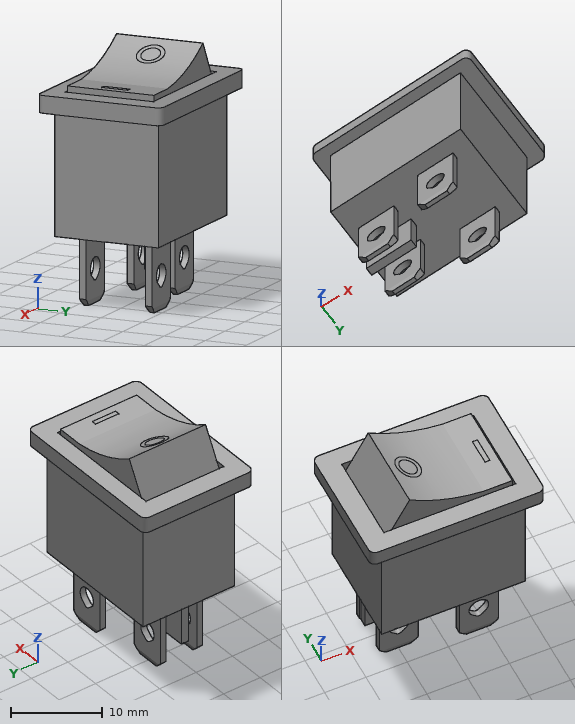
import cadquery as cq
import math

peak_z = 28.25
flange_top_z = 24.4
flange_thickness = 2.0
flange_bottom_z = flange_top_z - flange_thickness
housing_bottom_z = 8.2

flange_length = 21.1
flange_width = 15.1
flange_corner_radius = 0.8
case_length = 17.4
case_width = 12.58
window_length = 16.0
window_width = 10.68
window_floor_z = flange_bottom_z

rocker_width = 10.48
rocker_left_x = -window_length / 2
rocker_right_x = 7.63
peak_x = -4.83
arc_end_x = 4.18
rocker_flat_z = 25.0
rocker_arc_radius = 20.0

mark_depth = 0.2
ring_outer_diameter = 3.2
ring_inner_diameter = 2.2
ring_x = -2.52
bar_x = 6.35
bar_width = 0.6
bar_length = ring_outer_diameter

blade_width = 4.75
blade_thickness = 0.8
blade_corner = 0.9
bevel_height = 0.6
bevel_inset = 0.15
left_blade_x = -5.0
right_blade_x = 3.98
left_blade_y = 2.5
right_blade_y = 4.0
eye_radius = 1.2
eye_z = 4.0
eye_tip_radius = 0.42
eye_tip_z = 3.02

tab_width = 6.0
tab_thickness = 1.02
tab_length = 5.3


def centered_box(length, width, bottom_z, top_z):
    """Upright box centered on the Z axis."""
    return (
        cq.Workplane("XY", origin=(0, 0, bottom_z))
        .rect(length, width)
        .extrude(top_z - bottom_z)
    )


def make_housing():
    """Case with a rounded flange and a rectangular recess for the rocker."""
    flange = centered_box(flange_length, flange_width, flange_bottom_z, flange_top_z)
    flange = flange.edges("|Z").fillet(flange_corner_radius)
    case = centered_box(case_length, case_width, housing_bottom_z, flange_bottom_z)
    window = centered_box(window_length, window_width, window_floor_z, flange_top_z)
    return case.union(flange).cut(window)


def arc_center():
    """X and Z of the center of the concave arc, above the rocker."""
    run = arc_end_x - peak_x
    drop = peak_z - rocker_flat_z
    chord = math.hypot(run, drop)
    rise = math.sqrt(rocker_arc_radius**2 - (chord / 2) ** 2)
    center_x = (peak_x + arc_end_x) / 2 + rise * drop / chord
    center_z = (peak_z + rocker_flat_z) / 2 + rise * run / chord
    return center_x, center_z


def arc_height(x):
    """Height of the concave rocker face at a given X."""
    center_x, center_z = arc_center()
    return center_z - math.sqrt(rocker_arc_radius**2 - (x - center_x) ** 2)


def make_rocker_blank():
    """Rocker profile, with a concave top, extruded across the switch."""
    arc_middle_x = (peak_x + arc_end_x) / 2
    return (
        cq.Workplane("XZ")
        .moveTo(rocker_left_x, window_floor_z)
        .lineTo(peak_x, peak_z)
        .threePointArc((arc_middle_x, arc_height(arc_middle_x)), (arc_end_x, rocker_flat_z))
        .lineTo(rocker_right_x, rocker_flat_z)
        .lineTo(rocker_right_x, window_floor_z)
        .close()
        .extrude(rocker_width / 2, both=True)
    )


def make_ring_mark(blank):
    """Ring inlay, square to the concave face and flush with it."""
    center_x, center_z = arc_center()
    ring_z = arc_height(ring_x)
    normal = cq.Vector(center_x - ring_x, 0, center_z - ring_z).normalized()
    base = cq.Vector(ring_x, 0, ring_z) - normal * mark_depth
    plane = cq.Plane(origin=base, xDir=(0, 1, 0), normal=normal)
    ring = (
        cq.Workplane(plane)
        .circle(ring_outer_diameter / 2)
        .circle(ring_inner_diameter / 2)
        .extrude(2 * mark_depth)
    )
    return ring.intersect(blank)


def make_bar_mark():
    """Bar inlay, flush with the flat end of the rocker."""
    bar = centered_box(bar_width, bar_length, rocker_flat_z - mark_depth, rocker_flat_z)
    return bar.translate((bar_x, 0, 0))


def make_eye():
    """Teardrop cutter: two circles joined by their common tangents."""
    spacing = eye_z - eye_tip_z
    tangent_sine = (eye_radius - eye_tip_radius) / spacing
    tangent_cosine = math.sqrt(1 - tangent_sine**2)
    eye_side_x = eye_radius * tangent_cosine
    eye_side_z = eye_z - eye_radius * tangent_sine
    tip_side_x = eye_tip_radius * tangent_cosine
    tip_side_z = eye_tip_z - eye_tip_radius * tangent_sine
    return (
        cq.Workplane("XZ")
        .moveTo(eye_side_x, eye_side_z)
        .threePointArc((0, eye_z + eye_radius), (-eye_side_x, eye_side_z))
        .lineTo(-tip_side_x, tip_side_z)
        .threePointArc((0, eye_tip_z - eye_tip_radius), (tip_side_x, tip_side_z))
        .close()
        .extrude(blade_thickness, both=True)
    )


def make_blade(x, y):
    """Blade with clipped corners, a tip beveled on both faces and a teardrop eye."""
    half_thickness = blade_thickness / 2
    tip_half_thickness = half_thickness - bevel_inset
    blade = centered_box(blade_width, blade_thickness, 0, housing_bottom_z)
    blade = blade.edges("|Y and <Z").chamfer(blade_corner)
    side_profile = (
        cq.Workplane("YZ")
        .moveTo(-tip_half_thickness, 0)
        .lineTo(tip_half_thickness, 0)
        .lineTo(half_thickness, bevel_height)
        .lineTo(half_thickness, housing_bottom_z)
        .lineTo(-half_thickness, housing_bottom_z)
        .lineTo(-half_thickness, bevel_height)
        .close()
        .extrude(blade_width / 2, both=True)
    )
    return blade.intersect(side_profile).cut(make_eye()).translate((x, y, 0))


def make_tab():
    """Plain rectangular tab hanging below the case."""
    tab = centered_box(tab_width, tab_thickness, housing_bottom_z - tab_length, housing_bottom_z)
    return tab.translate((left_blade_x, 0, 0))


housing = make_housing()
rocker_blank = make_rocker_blank()
ring_mark = make_ring_mark(rocker_blank)
bar_mark = make_bar_mark()
rocker = rocker_blank.cut(ring_mark).cut(bar_mark)
tab = make_tab()

blades = []
for side in (-1, 1):
    blades.append(make_blade(left_blade_x, side * left_blade_y).val())
    blades.append(make_blade(right_blade_x, side * right_blade_y).val())

result = cq.Compound.makeCompound(
    [housing.val(), rocker.val(), ring_mark.val(), bar_mark.val(), tab.val(), *blades]
)